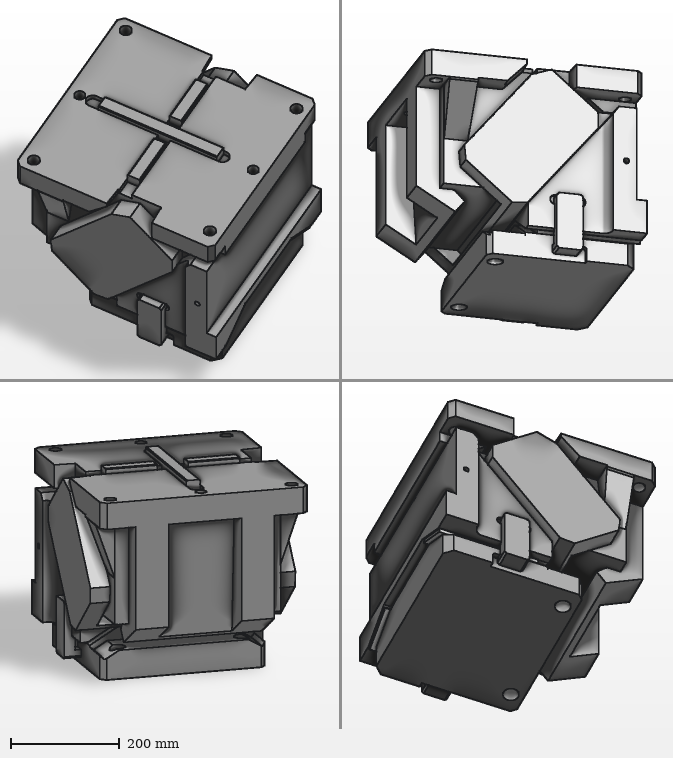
import cadquery as cq
import math


LENGTH = 423.0
WIDTH = 400.0
HEIGHT = 384.0
HALF_WIDTH = WIDTH / 2
CORE_HALF = 160.0

KEY_RISE = 10.0
PLATE_TOP = HEIGHT - KEY_RISE
PLATE_BOTTOM = 329.0
PLATE_LENGTH = 415.5
PLATE_CHAMFER = 10.5
PAD_BOTTOM = 324.0
PAD_LENGTH = 160.7
NOTCH_LEFT = 193.0
NOTCH_RIGHT = 287.5
NOTCH_TAPER = 3.3
NOTCH_SHOULDER_Z = 365.0
NOTCH_ROOF_Z = 328.0
NOTCH_ROOF_START = 100.3
NOTCH_ROOF_END = 155.5
NOTCH_FOOT = (86.0, 190.5)
HOLE_LEFT_X = 26.0
HOLE_RIGHT_X = 390.5
LEFT_HOLE_Y = 175.0
RIGHT_HOLE_Y = 165.0
CORNER_HOLE_DIA = 23.0
CENTRE_HOLE_DIA = 20.7

KEY_WIDTH = 26.2
KEY_CHAMFER = 1.5
KEYWAY_DEPTH = 10.5
KEYWAY_BOTTOM = PLATE_TOP - KEYWAY_DEPTH
LONG_KEYWAY_START = 39.8
LONG_KEYWAY_END = 339.2
LONG_KEY_START = 72.5
LONG_KEY_END = 321.0
CROSS_KEY_X = 210.5
CROSS_KEY_INNER = 30.0
CROSS_KEY_OUTER = 129.5

CORE_LEFT = 45.0
CORE_BOTTOM = 128.0
CORE_FOOT_ALONG = 264.0
LEG_HALF = 133.5
HOOK_TIP = (74.5, 85.0)
HOOK_HEEL = (93.0, 107.5)
HOOK_ROOT_X = 72.5
RECESS_HALF = 70.2
RECESS_DEPTH_TOP = 45.0
RECESS_DEPTH_BOTTOM = 59.0
GUSSET_LEFT = 45.5
GUSSET_CHAMFER = 3.5
GUSSET_BOTTOM = 216.5
LIP_START = 322.7
LIP_FLAT_START = 352.8
LIP_BOTTOM = 305.0
LIP_HALF = 152.3

SLOPE = math.radians(50)
POST_LEFT = 201.5
POST_RIGHT = 403.0
POST_TOP = 300.0
POST_BOTTOM = 55.0
POST_HALF = 177.2
SLOPE_TOP_X = 369.0
FLANGE_START = 358.3
FLANGE_FILLET = 15.5
FOOT_TOP = 119.5
CHEEK_HALF = 198.0
CHEEK_START = 36.5
CHEEK_END = 292.5
CHEEK_HEIGHT = 157.8
RAIL_HEIGHT = 34.5
RAIL_START = RAIL_HEIGHT / math.tan(SLOPE)
CHEEK_CORNER = 21.0
CHEEK_UPPER_CUT = 36.5
CHEEK_FOOT_CUT = 24.5
PIN_HOLE_DIA = 10.0
PIN_HOLE_X = 383.2
PIN_HOLE_Z = 194.0
TOP_HOLE_DIA = 7.5
SMALL_HOLE_DEPTH = 17.0

PAD_THICKNESS = 7.0
PAD_OUTER = 160.7
PAD_START = 223.0
PAD_END = 420.5

CLIP_LEFT = 252.5
CLIP_RIGHT = 303.0
CLIP_BOTTOM = 12.0
CLIP_TOP = 121.0
CLIP_INNER = 171.0
CLIP_OUTER = 191.5
CLIP_CHAMFER = 4.2
CLIP_HOOK_TOP = 27.5
CLIP_SLOT_LENGTH = 67.5
CLIP_SLOT_WIDTH = 17.8

DRIVER_LEFT = 129.5
DRIVER_RIGHT = 410.5
DRIVER_HALF = 159.0
DRIVER_CHAMFER = 9.7
WIDE_START = 275.0
WIDE_HALF = 169.0
WIDE_CHAMFER = 15.5
RIM_HEIGHT = 46.0
VALLEY = (152.5, 39.0)
DECK_HALF = 125.0
ROOF_EDGE_Z = 42.7
ROOF_RIDGE_HALF = 89.0
ROOF_SLOPE = math.radians(30)
POCKET_END = 316.5
POCKET_FILLET = 6.5
MOUNT_HOLE_X = 155.0
MOUNT_HOLE_Y = 120.0
MOUNT_HOLE_DIA = 29.5


def slope_point(along, out):
    """X, Z of a point measured down the slope and square to it."""
    x = SLOPE_TOP_X - along * math.cos(SLOPE) - out * math.sin(SLOPE)
    z = POST_TOP - along * math.sin(SLOPE) + out * math.cos(SLOPE)
    return (x, z)


def box(x0, x1, y0, y1, z0, z1):
    return cq.Workplane("XY").box(x1 - x0, y1 - y0, z1 - z0, centered=False).translate((x0, y0, z0))


def slab(points, y0, y1):
    """Prism with an XZ outline between two Y positions."""
    return cq.Workplane("XZ", origin=(0, y1, 0)).polyline(points).close().extrude(y1 - y0)


def mirrored(shape):
    return shape.union(shape.mirror("XZ"))


def roof_height(y):
    """Height of the sloping driver roof at a distance from the mid plane."""
    return ROOF_EDGE_Z + (WIDE_HALF - y) * math.tan(ROOF_SLOPE)


def roof_prism(rise):
    """Driver roof section raised by a given amount, running from the post face to the part end."""
    ridge_z = roof_height(ROOF_RIDGE_HALF) + rise
    half_profile = [
        (0, 0),
        (WIDE_HALF, 0),
        (WIDE_HALF, ROOF_EDGE_Z + rise),
        (ROOF_RIDGE_HALF, ridge_z),
        (0, ridge_z),
    ]
    half = cq.Workplane("YZ", origin=(POST_LEFT, 0, 0)).polyline(half_profile).close()
    return mirrored(half.extrude(LENGTH - POST_LEFT))


def holder_plate():
    """Plate with chamfered corners and a thicker pad over the leg."""
    plate = box(0, PLATE_LENGTH, -HALF_WIDTH, HALF_WIDTH, PLATE_BOTTOM, PLATE_TOP)
    pad = box(0, PAD_LENGTH, -HALF_WIDTH, HALF_WIDTH, PAD_BOTTOM, PLATE_TOP)
    trim = box(0, PLATE_LENGTH, -HALF_WIDTH, HALF_WIDTH, PAD_BOTTOM, PLATE_TOP)
    return plate.union(pad).intersect(trim.edges("|Z").chamfer(PLATE_CHAMFER))


def holder_core():
    """Body under the plate, ending on the face that the slide rail runs along."""
    foot_z = slope_point(CORE_FOOT_ALONG, RAIL_HEIGHT)[1]
    foot_rise = (CORE_BOTTOM - foot_z) / math.cos(SLOPE)
    nose_z = slope_point(RAIL_START, RAIL_HEIGHT)[1]
    nose_rise = (PLATE_BOTTOM - nose_z) / math.cos(SLOPE)
    outline = [
        (CORE_LEFT, PLATE_BOTTOM),
        (CORE_LEFT, CORE_BOTTOM),
        slope_point(CORE_FOOT_ALONG, RAIL_HEIGHT + foot_rise),
        slope_point(CORE_FOOT_ALONG, RAIL_HEIGHT),
        slope_point(RAIL_START, RAIL_HEIGHT),
        slope_point(RAIL_START, RAIL_HEIGHT + nose_rise),
    ]
    return slab(outline, -CORE_HALF, CORE_HALF)


def holder_leg():
    outline = [
        (0, PAD_BOTTOM),
        (0, CORE_BOTTOM),
        HOOK_TIP,
        HOOK_HEEL,
        (HOOK_ROOT_X, CORE_BOTTOM),
        (HOOK_ROOT_X, PAD_BOTTOM),
    ]
    return slab(outline, -LEG_HALF, LEG_HALF)


def leg_recess():
    outline = [
        (0, PAD_BOTTOM),
        (RECESS_DEPTH_TOP, PAD_BOTTOM),
        (RECESS_DEPTH_BOTTOM, HOOK_TIP[1]),
        (0, HOOK_TIP[1]),
    ]
    return slab(outline, -RECESS_HALF, RECESS_HALF)


def gussets():
    """Triangular webs under the plate, beside the core."""
    web = (
        cq.Workplane("YZ", origin=(GUSSET_LEFT, 0, 0))
        .moveTo(CORE_HALF, PAD_BOTTOM)
        .lineTo(HALF_WIDTH, PAD_BOTTOM)
        .lineTo(HALF_WIDTH - GUSSET_CHAMFER, PAD_BOTTOM - GUSSET_CHAMFER)
        .lineTo(CORE_HALF, GUSSET_BOTTOM)
        .close()
        .extrude(PAD_LENGTH - GUSSET_LEFT)
    )
    return mirrored(web)


def cheek_notches():
    """Tapered clearances for the slide cheeks, cut in from both sides."""
    outline = [
        (NOTCH_LEFT, HEIGHT + KEY_RISE),
        (NOTCH_LEFT, NOTCH_SHOULDER_Z),
        (NOTCH_ROOF_END, NOTCH_ROOF_Z),
        (NOTCH_ROOF_START, NOTCH_ROOF_Z),
        NOTCH_FOOT,
        (NOTCH_RIGHT, NOTCH_FOOT[1]),
        (NOTCH_RIGHT, HEIGHT + KEY_RISE),
    ]
    notch = (
        cq.Workplane("XZ", origin=(0, -HALF_WIDTH, 0))
        .polyline(outline)
        .close()
        .extrude(-(HALF_WIDTH - CORE_HALF), taper=NOTCH_TAPER)
    )
    return mirrored(notch)


def lip():
    outline = [
        (LIP_START, PLATE_BOTTOM),
        (LIP_FLAT_START, LIP_BOTTOM),
        (PLATE_LENGTH, LIP_BOTTOM),
        (PLATE_LENGTH, PLATE_BOTTOM),
    ]
    return slab(outline, -LIP_HALF, LIP_HALF)


def keyways():
    half = KEY_WIDTH / 2
    long_way = (
        cq.Workplane("XY", origin=((LONG_KEYWAY_START + LONG_KEYWAY_END) / 2, 0, KEYWAY_BOTTOM))
        .slot2D(LONG_KEYWAY_END - LONG_KEYWAY_START, KEY_WIDTH)
        .extrude(KEYWAY_DEPTH)
    )
    cross_way = box(
        CROSS_KEY_X - half, CROSS_KEY_X + half, -HALF_WIDTH, HALF_WIDTH, KEYWAY_BOTTOM, PLATE_TOP
    )
    return long_way.union(cross_way)


def keys():
    half = KEY_WIDTH / 2
    long_key = box(LONG_KEY_START, LONG_KEY_END, -half, half, KEYWAY_BOTTOM, HEIGHT)
    long_key = long_key.edges("|X and >Z").chamfer(KEY_CHAMFER)
    cross_key = box(
        CROSS_KEY_X - half, CROSS_KEY_X + half, CROSS_KEY_INNER, CROSS_KEY_OUTER, KEYWAY_BOTTOM, HEIGHT
    )
    cross_key = cross_key.edges("|Y and >Z").chamfer(KEY_CHAMFER)
    return long_key.union(mirrored(cross_key))


def plate_holes():
    corner_points = [
        (HOLE_LEFT_X, LEFT_HOLE_Y),
        (HOLE_LEFT_X, -LEFT_HOLE_Y),
        (HOLE_RIGHT_X, RIGHT_HOLE_Y),
        (HOLE_RIGHT_X, -RIGHT_HOLE_Y),
    ]
    centre_points = [(HOLE_LEFT_X, 0), (HOLE_RIGHT_X, 0)]
    depth = PLATE_TOP - LIP_BOTTOM
    floor = cq.Workplane("XY", origin=(0, 0, LIP_BOTTOM))
    corners = floor.pushPoints(corner_points).circle(CORNER_HOLE_DIA / 2).extrude(depth)
    centres = floor.pushPoints(centre_points).circle(CENTRE_HOLE_DIA / 2).extrude(depth)
    return corners.union(centres)


def make_holder():
    body = holder_plate().union(gussets()).cut(cheek_notches())
    body = body.union(holder_core()).union(holder_leg()).union(lip())
    body = body.cut(leg_recess()).cut(keyways()).cut(plate_holes())
    return body.union(keys())


def post():
    """Upright with a sloped back, a rounded step out to the full width, and a foot."""
    slope_foot = POST_TOP - (SLOPE_TOP_X - POST_LEFT) * math.tan(SLOPE)
    side = [
        (POST_LEFT, POST_BOTTOM),
        (LENGTH, POST_BOTTOM),
        (LENGTH, FOOT_TOP),
        (POST_RIGHT, FOOT_TOP),
        (POST_RIGHT, POST_TOP),
        (SLOPE_TOP_X, POST_TOP),
        (POST_LEFT, slope_foot),
    ]
    fillet_start = FLANGE_START - FLANGE_FILLET
    fillet_end = POST_HALF + FLANGE_FILLET
    plan = (
        cq.Workplane("XY")
        .moveTo(POST_LEFT, 0)
        .lineTo(POST_LEFT, POST_HALF)
        .lineTo(fillet_start, POST_HALF)
        .radiusArc((FLANGE_START, fillet_end), -FLANGE_FILLET)
        .lineTo(FLANGE_START, HALF_WIDTH)
        .lineTo(LENGTH, HALF_WIDTH)
        .lineTo(LENGTH, 0)
        .close()
        .extrude(POST_TOP)
    )
    return slab(side, -HALF_WIDTH, HALF_WIDTH).intersect(mirrored(plan))


def rail():
    """Block on the slope of the post, carrying the holder core."""
    outline = [
        (0, 0),
        (RAIL_START, RAIL_HEIGHT),
        (CHEEK_END, RAIL_HEIGHT),
        (CHEEK_END, CHEEK_CORNER),
        (CHEEK_END - CHEEK_CORNER, 0),
    ]
    return slab([slope_point(*p) for p in outline], -CORE_HALF, CORE_HALF)


def cheeks():
    """Plates standing square to the slope on both sides of the holder core."""
    outline = [
        (CHEEK_START, CHEEK_CORNER),
        (CHEEK_START, CHEEK_HEIGHT - CHEEK_CORNER),
        (CHEEK_START + CHEEK_UPPER_CUT, CHEEK_HEIGHT),
        (CHEEK_END - CHEEK_CORNER, CHEEK_HEIGHT),
        (CHEEK_END, CHEEK_HEIGHT - CHEEK_CORNER),
        (CHEEK_END, CHEEK_CORNER),
        (CHEEK_END - CHEEK_CORNER, 0),
        (CHEEK_START + CHEEK_FOOT_CUT, 0),
    ]
    return mirrored(slab([slope_point(*p) for p in outline], CORE_HALF, CHEEK_HALF))


def clip_slots():
    slot = (
        cq.Workplane("XZ", origin=((CLIP_LEFT + CLIP_RIGHT) / 2, POST_HALF, CLIP_TOP - CLIP_SLOT_WIDTH / 2))
        .slot2D(CLIP_SLOT_LENGTH, CLIP_SLOT_WIDTH)
        .extrude(POST_HALF - CLIP_INNER)
    )
    return mirrored(slot)


def clips():
    """Return hooks on the sides of the post, reaching under the wide part of the driver."""
    bar = box(CLIP_LEFT, CLIP_RIGHT, CLIP_INNER, CLIP_OUTER, CLIP_BOTTOM, CLIP_TOP)
    hook = box(CLIP_LEFT, CLIP_RIGHT, DRIVER_HALF, CLIP_INNER, CLIP_BOTTOM, CLIP_HOOK_TOP)
    bar = bar.edges("|Y").chamfer(CLIP_CHAMFER)
    hook = hook.edges("|Y and <Z").chamfer(CLIP_CHAMFER)
    return mirrored(bar.union(hook))


def channel():
    """V-shaped channel under the post, one pad thickness clear of the driver roof."""
    rise = PAD_THICKNESS / math.cos(ROOF_SLOPE)
    return roof_prism(rise)


def pads():
    """Wear pads on the channel slopes, resting on the driver roof."""
    step_y = PAD_THICKNESS * math.sin(ROOF_SLOPE)
    step_z = PAD_THICKNESS * math.cos(ROOF_SLOPE)
    foot_z = roof_height(PAD_OUTER)
    ridge_z = roof_height(ROOF_RIDGE_HALF)
    profile = [
        (PAD_OUTER, foot_z),
        (PAD_OUTER + step_y, foot_z + step_z),
        (ROOF_RIDGE_HALF + step_y, ridge_z + step_z),
        (ROOF_RIDGE_HALF, ridge_z),
    ]
    pad = cq.Workplane("YZ", origin=(PAD_START, 0, 0)).polyline(profile).close()
    return mirrored(pad.extrude(PAD_END - PAD_START))


def small_holes():
    side_hole = (
        cq.Workplane("XZ", origin=(PIN_HOLE_X, HALF_WIDTH, PIN_HOLE_Z))
        .circle(PIN_HOLE_DIA / 2)
        .extrude(SMALL_HOLE_DEPTH)
    )
    top_hole = (
        cq.Workplane("XY", origin=(PIN_HOLE_X, 0, POST_TOP))
        .circle(TOP_HOLE_DIA / 2)
        .extrude(-SMALL_HOLE_DEPTH)
    )
    return mirrored(side_hole).union(top_hole)


def make_slide():
    body = post().union(rail()).union(cheeks())
    body = body.cut(channel()).cut(clip_slots()).cut(small_holes())
    return body.union(pads()).union(clips())


def deck():
    """Low front part with a flat top, a sloping groove and a raised rim on each side."""
    half_profile = [
        (0, 0),
        (DRIVER_HALF, 0),
        (DRIVER_HALF, RIM_HEIGHT),
        VALLEY,
        (DECK_HALF, POST_BOTTOM),
        (0, POST_BOTTOM),
    ]
    half = cq.Workplane("YZ", origin=(DRIVER_LEFT, 0, 0)).polyline(half_profile).close()
    return mirrored(half.extrude(POST_LEFT - DRIVER_LEFT))


def driver_plan():
    height = roof_height(0)
    narrow = box(DRIVER_LEFT, DRIVER_RIGHT, -DRIVER_HALF, DRIVER_HALF, 0, height)
    narrow = narrow.edges("|Z and <X").chamfer(DRIVER_CHAMFER)
    wide = box(WIDE_START, DRIVER_RIGHT, -WIDE_HALF, WIDE_HALF, 0, height)
    plan = narrow.union(wide)
    return plan.edges("|Z and >X").chamfer(WIDE_CHAMFER)


def clip_pockets():
    pocket = box(WIDE_START, POCKET_END, DRIVER_HALF, WIDE_HALF, 0, CLIP_HOOK_TOP)
    return mirrored(pocket.edges("|Y and >X and >Z").fillet(POCKET_FILLET))


def mount_holes():
    points = [(MOUNT_HOLE_X, MOUNT_HOLE_Y), (MOUNT_HOLE_X, -MOUNT_HOLE_Y)]
    return cq.Workplane("XY").pushPoints(points).circle(MOUNT_HOLE_DIA / 2).extrude(POST_BOTTOM)


def make_driver():
    body = deck().union(roof_prism(0)).intersect(driver_plan())
    return body.cut(clip_pockets()).cut(mount_holes())


holder = make_holder()
slide = make_slide()
driver = make_driver()

result = cq.Compound.makeCompound([holder.val(), slide.val(), driver.val()])